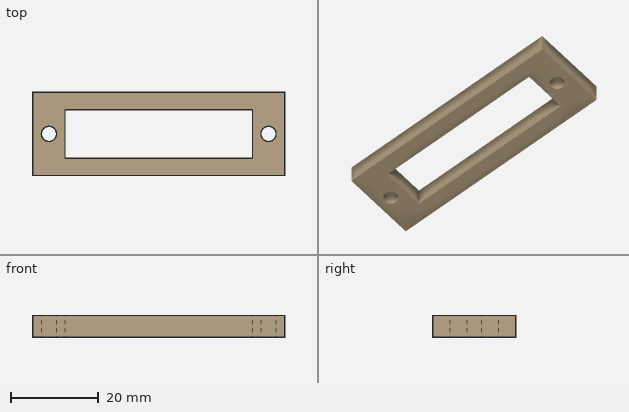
import cadquery as cq

plate_length = 57.4
plate_width = 19.0
plate_thickness = 5.0

window_length = 42.6
window_width = 11.0

hole_diameter = 3.4
hole_spacing = 50.0


def make_plate():
    """Flat rectangular plate resting on Z = 0."""
    return cq.Workplane("XY").box(
        plate_length, plate_width, plate_thickness, centered=(True, True, False)
    )


def cut_window(body):
    """Cut the rectangular window through the plate."""
    return body.faces(">Z").workplane(origin=(0, 0, 0)).rect(window_length, window_width).cutThruAll()


def drill_mounting_holes(body):
    """Drill the two mounting holes through the end bars."""
    hole_centers = [(-hole_spacing / 2, 0), (hole_spacing / 2, 0)]
    return body.faces(">Z").workplane(origin=(0, 0, 0)).pushPoints(hole_centers).hole(hole_diameter)


result = drill_mounting_holes(cut_window(make_plate()))